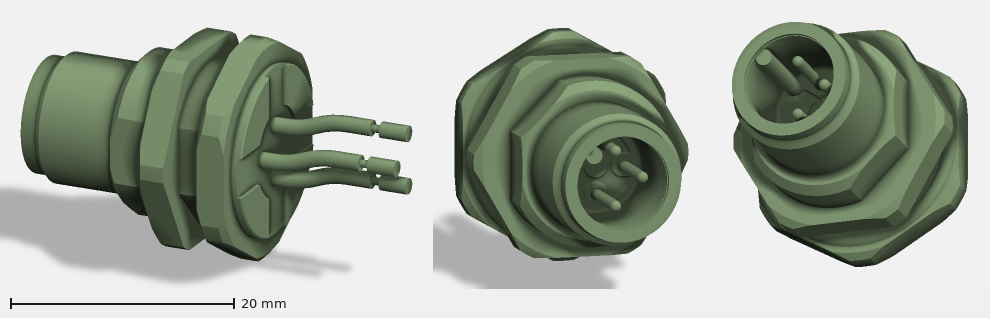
import cadquery as cq
import math


lip_end = 1.35
barrel_start = 2.05
collar_start = 9.43
collar_chamfer = 0.75
nut_start = 13.5
nut_thickness = 2.7
flange_start = 19.25
flange_end = 21.95
rim_end = 22.9

lip_diameter = 10.8
barrel_diameter = 12.0
barrel_fillet = 0.5
collar_diameter = 15.2
collar_flat_distance = 6.75
collar_flat_angles = (0, 45, 180, 225)
nut_across_flats = 18.0
nut_corner_diameter = 20.0
nut_chamfer_length = 0.4
nut_chamfer_depth = 0.68
flange_across_flats = 19.0
flange_corner_diameter = 20.9
flange_chamfer_length = 0.5
flange_chamfer_depth = 0.57
rim_diameter = 16.0
rim_chamfer = 0.15
notch_width = 3.8
notch_depth = 0.4
bore_diameter = 8.55

seal_radius = 8.65
seal_section_radius = 0.75
seal_front = 18.93

insert_start = 0.4
insert_end = rim_end - notch_depth
cup_diameter = 8.4
cup_floor = 8.95
cup_fillet = 0.35
key_radius = 0.75
key_distance = 3.6
key_start = 0.55
key_angle = 45
pocket_depth = 0.18
pocket_radius = 3.45
boss_radius = 1.0
lobe_radius = 1.0
arm_radius = 0.65
arm_end_distance = 2.4
arm_root_distance = 1.0
arm_root_half_width = 0.9
wall_taper = 45

pitch_radius = 2.5
lobe_angles = (0, 90, 180, 270)
contact_angles = (90, 180, 270)
pin_diameter = 1.0
pin_start = 2.0
wire_diameter = 1.5
core_diameter = 0.7
bend_start = 23.75
bend_end = 29.8
wire_rise = 1.22
strip_start = 32.3
strip_end = 33.2
wire_end = 35.85


def across(x):
    """Workplane across the connector axis: local x is +Y, local y is +Z, normal is +X."""
    return cq.Workplane("YZ", origin=(x, 0, 0))


def disc(diameter, start, end):
    return across(start).circle(diameter / 2).extrude(end - start)


def polar(radius, angle):
    turn = math.radians(angle)
    return radius * math.cos(turn), radius * math.sin(turn)


def turned(points):
    """Solid of revolution about X from (x, radius) points."""
    return cq.Workplane("XY").polyline(points).close().revolve(360, (0, 0, 0), (1, 0, 0))


def hexagon(across_flats, start, end, first_corner_angle):
    corner_radius = across_flats / math.sqrt(3)
    corners = [polar(corner_radius, first_corner_angle + 60 * i) for i in range(6)]
    return across(start).polyline(corners).close().extrude(end - start)


def make_barrel():
    lip = lip_diameter / 2
    barrel = barrel_diameter / 2
    profile = (
        cq.Workplane("XY")
        .moveTo(0, 0)
        .lineTo(0, lip)
        .lineTo(lip_end, lip)
        .lineTo(barrel_start, barrel)
        .lineTo(collar_start - barrel_fillet, barrel)
        .radiusArc((collar_start, barrel + barrel_fillet), -barrel_fillet)
        .lineTo(collar_start, 0)
        .close()
    )
    return profile.revolve(360, (0, 0, 0), (1, 0, 0))


def make_collar():
    length = flange_start - collar_start
    collar = disc(collar_diameter, collar_start, flange_start).faces("<X").chamfer(collar_chamfer)
    for angle in collar_flat_angles:
        cutter = (
            across(collar_start)
            .center(collar_flat_distance + collar_diameter / 2, 0)
            .rect(collar_diameter, 2 * collar_diameter)
            .extrude(length)
        )
        collar = collar.cut(cutter.rotate((0, 0, 0), (1, 0, 0), angle))
    return collar


def make_nut():
    """Hexagon with corners on +Y and -Y, corners turned off and chamfered in front."""
    end = nut_start + nut_thickness
    corner = nut_corner_diameter / 2
    envelope = turned([
        (nut_start, 0),
        (nut_start, corner - nut_chamfer_depth),
        (nut_start + nut_chamfer_length, corner),
        (end, corner),
        (end, 0),
    ])
    return hexagon(nut_across_flats, nut_start, end, 0).intersect(envelope)


def make_flange():
    """Hexagon with corners on +Z and -Z, corners turned off and chamfered on both sides."""
    corner = flange_corner_diameter / 2
    face_radius = corner - flange_chamfer_depth
    envelope = turned([
        (flange_start, 0),
        (flange_start, face_radius),
        (flange_start + flange_chamfer_length, corner),
        (flange_end - flange_chamfer_length, corner),
        (flange_end, face_radius),
        (flange_end, 0),
    ])
    return hexagon(flange_across_flats, flange_start, flange_end, 90).intersect(envelope)


def make_seal():
    return (
        cq.Workplane("XY")
        .center(seal_front + seal_section_radius, seal_radius)
        .circle(seal_section_radius)
        .revolve(360, (0, -seal_radius, 0), (1, -seal_radius, 0))
    )


def make_rim():
    """Round rear rim with a cross of two wrench notches."""
    rim = disc(rim_diameter, flange_end, rim_end).faces(">X").chamfer(rim_chamfer)
    for width, height in ((notch_width, rim_diameter), (rim_diameter, notch_width)):
        rim = rim.cut(across(rim_end - notch_depth).rect(width, height).extrude(notch_depth))
    return rim


def make_housing():
    housing = make_barrel()
    for section in (make_collar(), make_nut(), make_flange(), make_seal(), make_rim()):
        housing = housing.union(section)
    return housing.cut(disc(bore_diameter, 0, rim_end))


def make_floor_pocket():
    """Cross-shaped pocket that leaves a centre boss and a land around each contact position."""
    bottom = across(cup_floor + pocket_depth)
    pocket = across(cup_floor).circle(pocket_radius).extrude(pocket_depth, taper=wall_taper)
    boss = bottom.circle(boss_radius + pocket_depth).extrude(-pocket_depth, taper=wall_taper)
    pocket = pocket.cut(boss)

    foot_radius = lobe_radius + pocket_depth
    lobe = (
        bottom
        .moveTo(2 * pitch_radius, -foot_radius)
        .lineTo(pitch_radius, -foot_radius)
        .threePointArc((pitch_radius - foot_radius, 0), (pitch_radius, foot_radius))
        .lineTo(2 * pitch_radius, foot_radius)
        .close()
        .extrude(-pocket_depth, taper=wall_taper)
    )
    for angle in lobe_angles:
        pocket = pocket.cut(lobe.rotate((0, 0, 0), (1, 0, 0), angle))

    quadrant = across(cup_floor).rect(pocket_radius, pocket_radius, centered=False).extrude(pocket_depth)
    arm = (
        across(cup_floor)
        .moveTo(arm_root_distance, -arm_root_half_width)
        .lineTo(arm_end_distance, -arm_radius)
        .threePointArc((arm_end_distance + arm_radius, 0), (arm_end_distance, arm_radius))
        .lineTo(arm_root_distance, arm_root_half_width)
        .lineTo(0, arm_root_half_width)
        .lineTo(0, -arm_root_half_width)
        .close()
        .extrude(pocket_depth, taper=wall_taper)
        .rotate((0, 0, 0), (1, 0, 0), key_angle)
    )
    return pocket.cut(quadrant.cut(arm))


def make_carrier():
    """Cup that fills the housing bore, with its coding key trimmed to the bore."""
    cup = disc(cup_diameter, insert_start, cup_floor).faces(">X").edges().fillet(cup_fillet)
    carrier = disc(bore_diameter, insert_start, insert_end).cut(cup).cut(make_floor_pocket())
    key = across(key_start).center(*polar(key_distance, key_angle)).circle(key_radius)
    key = key.extrude(cup_floor + pocket_depth - key_start)
    return carrier.union(key.intersect(disc(bore_diameter, 0, insert_end)))


def make_pin(y, z):
    radius = pin_diameter / 2
    shank_start = pin_start + radius
    shank_end = cup_floor + pocket_depth
    shank = across(shank_start).center(y, z).circle(radius).extrude(shank_end - shank_start)
    tip = cq.Workplane("XY").sphere(radius).translate((shank_start, y, z))
    return shank.union(tip)


def make_wire(y, z):
    """S-bent wire, stripped to its core for a short length near the end."""
    half_run = (bend_end - bend_start) / 2
    half_rise = wire_rise / 2
    bend_radius = (half_run ** 2 + half_rise ** 2) / (2 * half_rise)
    middle = bend_start + half_run
    path = (
        cq.Workplane("XZ", origin=(0, y, 0))
        .moveTo(insert_end, z)
        .lineTo(bend_start, z)
        .radiusArc((middle, z + half_rise), -bend_radius)
        .radiusArc((bend_end, z + wire_rise), bend_radius)
        .lineTo(strip_start, z + wire_rise)
    )
    wire = across(insert_end).center(y, z).circle(wire_diameter / 2).sweep(path)
    core = disc(core_diameter, strip_start, strip_end)
    end_sleeve = disc(wire_diameter, strip_end, wire_end)
    return wire.union(core.union(end_sleeve).translate((0, y, z + wire_rise)))


def make_insert():
    insert = make_carrier()
    for angle in contact_angles:
        y, z = polar(pitch_radius, angle)
        insert = insert.union(make_pin(y, z)).union(make_wire(y, z))
    return insert


housing = make_housing()
insert = make_insert()
result = cq.Compound.makeCompound([housing.solids().val(), insert.solids().val()])